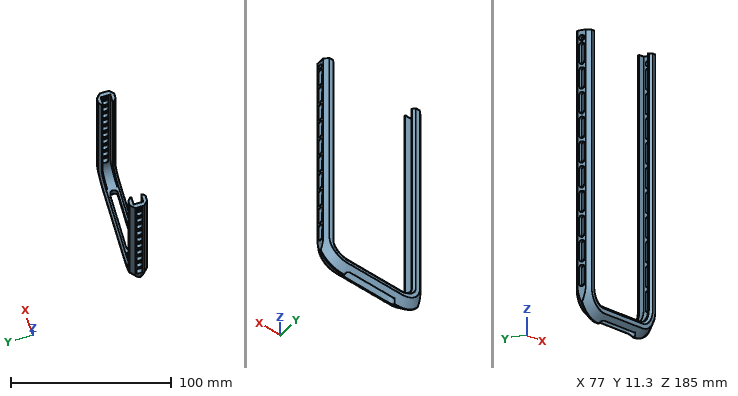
import cadquery as cq

WIDTH = 77.0
DEPTH = 11.3
HEIGHT = 185.0

RIDGE_RADIUS = 19.8
RIDGE_FLAT = 0.7
RIDGE_TRIM = 2.5
SIDE_RADIUS = RIDGE_RADIUS - (DEPTH - RIDGE_FLAT) / 2
RAIL_THICKNESS = 7.4
INNER_CHAMFER = 1.7
INNER_RADIUS = RIDGE_RADIUS - RIDGE_TRIM - RAIL_THICKNESS

CORNER_X = WIDTH / 2 + RIDGE_TRIM - RIDGE_RADIUS
CORNER_Z = RIDGE_RADIUS

CHANNEL_WIDTH = 6.3
CHANNEL_WALL = 2.5
CHANNEL_CORNER_RADIUS = 12.5
CHANNEL_FLOOR = CORNER_Z - INNER_RADIUS

HOLE_DIAMETER = 3.5
HOLE_FROM_TOP = 5.0
SLOT_COUNT = 10
SLOT_LENGTH = 13.9
SLOT_PITCH = 16.0
FIRST_SLOT_FROM_TOP = 15.0

BAR_SLOT_LENGTH = 39.5
BAR_SLOT_WIDTH = 5.0


def make_rail():
    """Sweep the ridge section down one arm, along the bottom and up the other arm."""
    half_depth = DEPTH / 2
    chamfer_start = INNER_RADIUS + INNER_CHAMFER
    section = [
        (RIDGE_RADIUS, -RIDGE_FLAT / 2),
        (RIDGE_RADIUS, RIDGE_FLAT / 2),
        (SIDE_RADIUS, half_depth),
        (chamfer_start, half_depth),
        (INNER_RADIUS, half_depth - INNER_CHAMFER),
        (INNER_RADIUS, INNER_CHAMFER - half_depth),
        (chamfer_start, -half_depth),
        (SIDE_RADIUS, -half_depth),
    ]
    path_x = CORNER_X + RIDGE_RADIUS
    path = (
        cq.Workplane("XZ")
        .moveTo(-path_x, HEIGHT)
        .lineTo(-path_x, CORNER_Z)
        .radiusArc((-CORNER_X, 0), -RIDGE_RADIUS)
        .lineTo(CORNER_X, 0)
        .radiusArc((path_x, CORNER_Z), -RIDGE_RADIUS)
        .lineTo(path_x, HEIGHT)
    )
    rail = (
        cq.Workplane("XY", origin=(0, 0, HEIGHT))
        .polyline([(-CORNER_X - radius, y) for radius, y in section])
        .close()
        .sweep(path)
    )
    envelope = cq.Workplane("XY").box(WIDTH, DEPTH, HEIGHT, centered=(True, True, False))
    return rail.intersect(envelope)


def make_channel():
    """Rounded U-shaped block that hollows the inside of the arms and corners."""
    return (
        cq.Workplane("XY", origin=(0, 0, CHANNEL_FLOOR))
        .box(WIDTH - 2 * CHANNEL_WALL, CHANNEL_WIDTH, HEIGHT - CHANNEL_FLOOR, centered=(True, True, False))
        .edges("|Y and <Z")
        .fillet(CHANNEL_CORNER_RADIUS)
    )


def make_arm_openings():
    """Round hole at the top and a row of slots below it, through both arms."""
    slot_heights = [
        (0, HEIGHT - FIRST_SLOT_FROM_TOP - index * SLOT_PITCH) for index in range(SLOT_COUNT)
    ]
    slots = (
        cq.Workplane("YZ")
        .pushPoints(slot_heights)
        .slot2D(SLOT_LENGTH, HOLE_DIAMETER, angle=90)
        .extrude(WIDTH / 2, both=True)
    )
    hole = (
        cq.Workplane("YZ")
        .center(0, HEIGHT - HOLE_FROM_TOP)
        .circle(HOLE_DIAMETER / 2)
        .extrude(WIDTH / 2, both=True)
    )
    return slots.union(hole)


def make_bar_slot():
    """Long slot that passes vertically through the bottom bar."""
    return cq.Workplane("XY").slot2D(BAR_SLOT_LENGTH, BAR_SLOT_WIDTH).extrude(CORNER_Z)


result = make_rail().cut(make_channel()).cut(make_arm_openings()).cut(make_bar_slot())